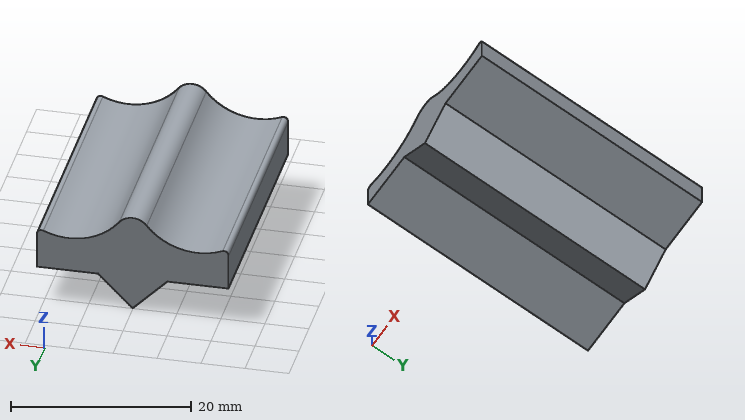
import cadquery as cq
import math

width = 21.78
length = 30.0
height = 11.63

cradle_radius = 7.3
crest_radius = 2.0
cradle_spacing = 14.6
edge_radius = 0.5

key_depth = 3.94
key_half_width = key_depth

crest_top = height - key_depth
half_width = width / 2
cradle_x = cradle_spacing / 2

crest_center_z = crest_top - crest_radius
crest_angle = math.asin(cradle_x / (cradle_radius + crest_radius))
cradle_center_z = crest_center_z + (cradle_radius + crest_radius) * math.cos(crest_angle)
crest_join_x = crest_radius * math.sin(crest_angle)
crest_join_z = crest_center_z + crest_radius * math.cos(crest_angle)

edge_center_x = half_width - edge_radius
edge_angle = math.asin((edge_center_x - cradle_x) / (cradle_radius + edge_radius))
edge_center_z = cradle_center_z - (cradle_radius + edge_radius) * math.cos(edge_angle)
edge_join_x = edge_center_x - edge_radius * math.sin(edge_angle)
edge_join_z = edge_center_z + edge_radius * math.cos(edge_angle)
edge_top_z = edge_center_z + edge_radius

cradle_bottom_z = cradle_center_z - cradle_radius


def make_profile():
    """Closed cross-section in the XZ plane, symmetric about X = 0."""
    return (
        cq.Workplane("XZ")
        .moveTo(0, -key_depth)
        .lineTo(key_half_width, 0)
        .lineTo(half_width, 0)
        .lineTo(half_width, edge_center_z)
        .threePointArc((edge_center_x, edge_top_z), (edge_join_x, edge_join_z))
        .threePointArc((cradle_x, cradle_bottom_z), (crest_join_x, crest_join_z))
        .threePointArc((0, crest_top), (-crest_join_x, crest_join_z))
        .threePointArc((-cradle_x, cradle_bottom_z), (-edge_join_x, edge_join_z))
        .threePointArc((-edge_center_x, edge_top_z), (-half_width, edge_center_z))
        .lineTo(-half_width, 0)
        .lineTo(-key_half_width, 0)
        .close()
    )


result = make_profile().extrude(length / 2, both=True)